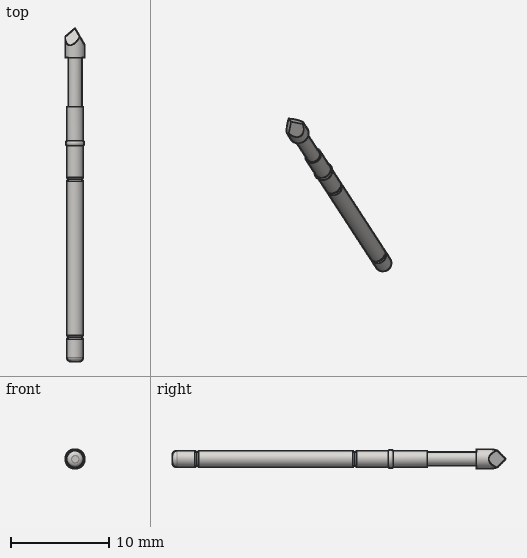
import cadquery as cq
import math

total_length = 34.0

barrel_radius = 0.85
barrel_length = 26.0
rear_round = 0.48

ring_position = 22.27
ring_width = 0.5
ring_height = 0.1

groove_positions = (2.5, 18.6)
groove_width = 0.4
groove_depth = 0.17

stem_radius = 0.7
head_radius = 1.003
head_length = 3.0

facet_count = 3
facet_angle = 60.0


def cylinder(radius, start, length):
    """Cylinder on the Y axis from start toward +Y."""
    return cq.Workplane("XZ", origin=(0, start, 0)).circle(radius).extrude(-length)


def press_ring():
    """Ring with a rounded crest, revolved solid down to the axis."""
    rear = ring_position - ring_width / 2
    front = ring_position + ring_width / 2
    profile = (
        cq.Workplane("XY")
        .moveTo(0, rear)
        .lineTo(barrel_radius, rear)
        .threePointArc((barrel_radius + ring_height, ring_position), (barrel_radius, front))
        .lineTo(0, front)
        .close()
    )
    return profile.revolve(360, (0, 0, 0), (0, 1, 0))


def groove_cutter(position):
    """Triangular ring that cuts a V-groove into the barrel surface."""
    profile = (
        cq.Workplane("XY")
        .moveTo(barrel_radius, position - groove_width / 2)
        .lineTo(barrel_radius - groove_depth, position)
        .lineTo(barrel_radius, position + groove_width / 2)
        .close()
    )
    return profile.revolve(360, (0, 0, 0), (0, 1, 0))


def make_barrel():
    barrel = cylinder(barrel_radius, 0, barrel_length).faces("<Y").edges().fillet(rear_round)
    barrel = barrel.union(press_ring())
    for position in groove_positions:
        barrel = barrel.cut(groove_cutter(position))
    return barrel


def make_head():
    head = cylinder(head_radius, total_length - head_length, head_length)
    reach = 2 * head_radius
    drop = reach * math.tan(math.radians(facet_angle))
    wedge = (
        cq.Workplane("XY", origin=(0, total_length, 0))
        .polyline([(0, 0), (reach, -drop), (reach, 0)])
        .close()
        .extrude(reach, both=True)
    )
    for i in range(facet_count):
        head = head.cut(wedge.rotate((0, 0, 0), (0, 1, 0), i * 360 / facet_count))
    return head


stem = cylinder(stem_radius, barrel_length, total_length - head_length - barrel_length)
result = make_barrel().union(stem).union(make_head())